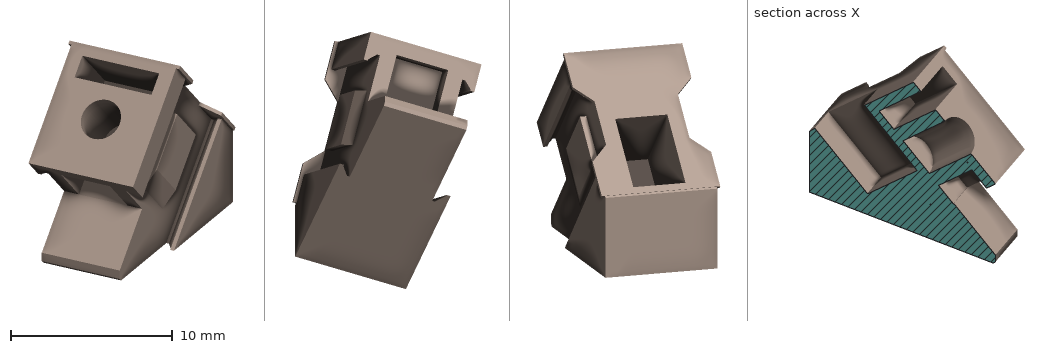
import cadquery as cq
import math


length = 13.3
height = 12.57
tilt = 45

block_width = 7.32
block_top = 0.03
head_depth = 8.3
head_length = 4.2
foot_chamfer = 0.19
beyond = 2 * length

plate_width = 7.74
plate_length = 10.4
plate_thickness = 0.23
notch_outer_start = 2.49
notch_outer_end = 7.9
notch_inner_start = 3.6
notch_inner_end = 6.77

core_width = 5.45
channel_start = 1.78
channel_end = 8.58
lip_thickness = 0.27
lip_step = 0.08
undercut = 0.53
undercut_flat = 0.19

latch_start = 3.43
latch_end = 6.94
latch_height = 0.41
latch_top = 2.06
latch_ramp = 5.84
latch_bottom = 7.21

slot_width = 5.37
slot_top = 0.77
slot_bottom = 2.23
front_depth = 4.22
hole_diameter = 2.63
hole_drop = 4.51
pocket_width = 3.4
top_pocket_start = 4.99
top_pocket_end = 9.95
top_pocket_depth = 5.32
head_pocket_start = 0.93
head_pocket_end = 4.25
head_pocket_depth = 1.49


def block(width, start, end, top, bottom):
    """Box centred across X, from start to end in Y, between two depths."""
    box = cq.Workplane("XY").box(width, end - start, bottom - top, centered=(True, False, False))
    return box.translate((0, start, -bottom))


def both_sides(solid):
    return solid.union(solid.mirror("YZ"))


def make_channels():
    core = core_width / 2
    lip_inside = block_width / 2 - lip_thickness
    flat_end = core + undercut_flat
    points = [
        (block_width, channel_start),
        (lip_inside, channel_start),
        (lip_inside, channel_start - lip_step),
        (flat_end, channel_start - undercut),
        (core, channel_start - undercut),
        (core, channel_end + undercut),
        (flat_end, channel_end + undercut),
        (lip_inside, channel_end + lip_step),
        (lip_inside, channel_end),
        (block_width, channel_end),
    ]
    return both_sides(cq.Workplane("XY").polyline(points).close().extrude(-beyond))


def make_plate():
    points = [
        (plate_width / 2, notch_outer_start),
        (core_width / 2, notch_inner_start),
        (core_width / 2, notch_inner_end),
        (plate_width / 2, notch_outer_end),
    ]
    notch = cq.Workplane("XY").polyline(points).close().extrude(-plate_thickness)
    plate = block(plate_width, 0, plate_length, 0, plate_thickness)
    return plate.cut(both_sides(notch))


def make_latches():
    core = core_width / 2
    points = [
        (0, -latch_top),
        (core + latch_height, -latch_top),
        (core + latch_height, -latch_ramp),
        (core, -latch_bottom),
        (0, -latch_bottom),
    ]
    latch = cq.Workplane("XZ").polyline(points).close().extrude(latch_start - latch_end)
    return both_sides(latch.translate((0, latch_start, 0)))


def make_openings():
    slot = block(slot_width, 0, front_depth, slot_top, slot_bottom)
    hole = cq.Workplane("XZ").center(0, -hole_drop).circle(hole_diameter / 2).extrude(-front_depth)
    top_pocket = block(pocket_width, top_pocket_start, top_pocket_end, 0, top_pocket_depth)
    head_pocket = block(
        pocket_width, head_pocket_start, head_pocket_end, head_depth - head_pocket_depth, head_depth
    )
    return slot.union(hole).union(top_pocket).union(head_pocket)


head = block(block_width, 0, head_length, block_top, head_depth)
foot = block(block_width, head_length, beyond, block_top, beyond)
flat_part = (
    head.union(foot)
    .cut(make_channels())
    .union(make_plate())
    .union(make_latches())
    .cut(make_openings())
)

apex_y = head_depth * math.sin(math.radians(tilt)) - length / 2
tilted = flat_part.rotate((0, 0, 0), (1, 0, 0), -tilt).translate((0, apex_y, height))

envelope = (
    cq.Workplane("XY")
    .box(plate_width, length, height, centered=(True, True, False))
    .edges("<Y and <Z")
    .chamfer(foot_chamfer)
)
result = tilted.intersect(envelope)